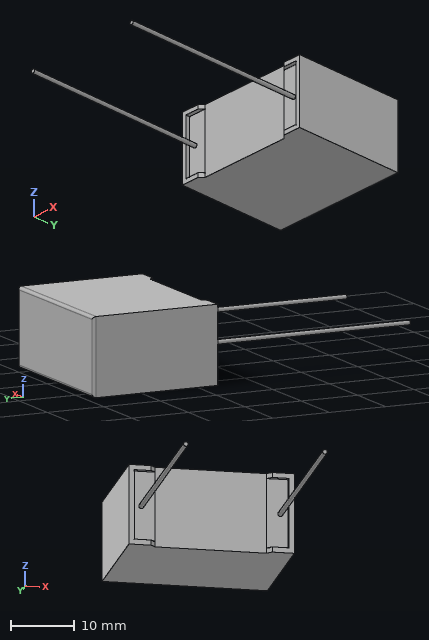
import cadquery as cq

width = 26.8
height = 13.2
overall_length = 57.1
housing_length = 22.1
wall = 0.85
rear_fillet = 0.5

recess_depth = 0.8
bar_width = 18.0
recess_width = bar_width + 2 * recess_depth
bar_thickness = wall

lead_diameter = 0.8
lead_pitch = 22.5

resin_front = recess_depth
bar_back = recess_depth + bar_thickness
cavity_back = housing_length - wall
lead_tip = housing_length - overall_length


def centred_block(size_x, size_z, y_start, y_end):
    """Block centred on the Y axis between two places along Y."""
    block = cq.Workplane("XY").box(size_x, y_end - y_start, size_z, centered=(True, False, True))
    return block.translate((0, y_start, 0))


def make_bar():
    """Strip of the housing that crosses the cavity mouth between the two feet."""
    return centred_block(bar_width, height, resin_front, bar_back)


def make_housing():
    """Hollow box with a rounded rear, a recessed lead end and a bar across its mouth."""
    box = centred_block(width, height, 0, housing_length).faces(">Y").edges().fillet(rear_fillet)
    cavity = centred_block(width - 2 * wall, height - 2 * wall, 0, cavity_back)
    recess = (
        cq.Workplane("XY")
        .polyline([
            (-recess_width / 2, 0),
            (recess_width / 2, 0),
            (bar_width / 2, recess_depth),
            (-bar_width / 2, recess_depth),
        ])
        .close()
        .extrude(height / 2, both=True)
    )
    return box.cut(cavity).cut(recess).union(make_bar())


def make_resin():
    """Filling of the cavity, flush with the front of the bar and notched around it."""
    filling = centred_block(width - 2 * wall, height - 2 * wall, resin_front, cavity_back)
    return filling.cut(make_bar())


def make_lead(x):
    """Round wire running forward from the front of the resin."""
    wire = cq.Workplane("XZ").circle(lead_diameter / 2).extrude(resin_front - lead_tip)
    return wire.translate((x, resin_front, 0))


housing = make_housing()
resin = make_resin()
leads = [make_lead(side * lead_pitch / 2) for side in (-1, 1)]

result = cq.Compound.makeCompound([housing.solids().val(), resin.solids().val(), *[lead.val() for lead in leads]])